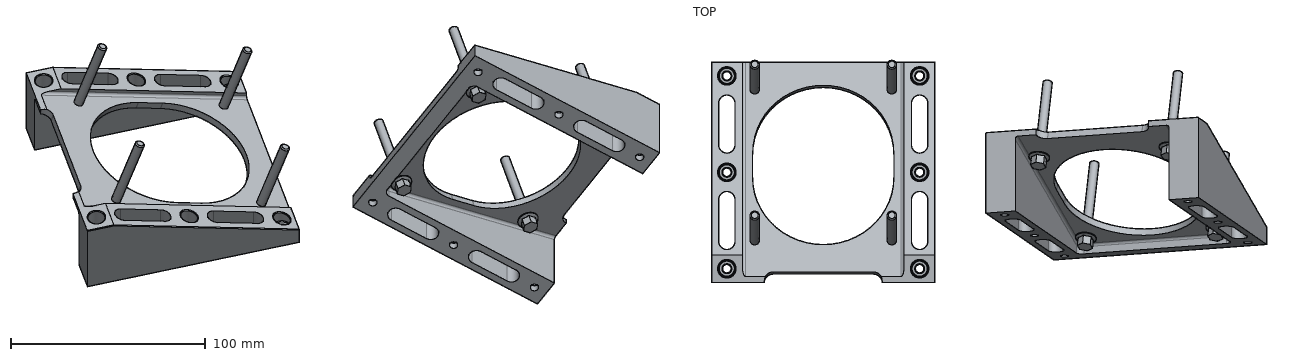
import cadquery as cq
import math

WIDTH = 115.0
DEPTH = 113.2
FRONT_HEIGHT = 42.4
SLOPE = 18.3
FLAT_DEPTH = 14.2
SIDE_EDGE_CHAMFER = 0.4

SIDE_WALL = 16.0
BACK_WALL = 8.8
FILLET = 1.5
POCKET_CORNER_RADIUS = 3.0

LIP_DEPTH = 3.2
PLATE_THICKNESS = 3.9

OPENING_WIDTH = 72.4
OPENING_LENGTH = 86.1
PLATE_CENTER_Y = 60.4
NOTCH_WIDTH = 60.6
NOTCH_DEPTH = 5.5
NOTCH_RADIUS = 4.8

HOLE_PITCH = 49.5
HOLE_ROWS = (-1, 0, 1)
SLOT_ROWS = (-0.5, 0.5)
COUNTERBORE_DIAMETER = 8.65
COUNTERBORE_FLOOR = 5.0
COUNTERBORE_CHAMFER = 0.45
SCREW_DIAMETER = 4.23
SCREW_MOUTH_DIAMETER = 5.12
SLOT_WIDTH = 8.3
SLOT_LENGTH = 29.7

BOLT_SPACING_X = 70.4
BOLT_SPACING_SLOPE = 81.6
BOLT_DIAMETER = 4.9
BOLT_TIP_DIAMETER = 3.5
BOLT_TIP_CHAMFER = 0.6
BOLT_REACH = 41.0
FLANGE_DIAMETER = 10.8
FLANGE_RIM = 0.5
FLANGE_HEIGHT = 1.05
HEAD_ACROSS_FLATS = 7.0
HEAD_HEIGHT = 5.6

TAN_SLOPE = math.tan(math.radians(SLOPE))
BACK_HEIGHT = FRONT_HEIGHT - (DEPTH - FLAT_DEPTH) * TAN_SLOPE
INNER_WIDTH = WIDTH - 2 * SIDE_WALL
OVERSIZE = 2 * DEPTH
PLATE_CUT_REACH = FRONT_HEIGHT
HOLE_X = (WIDTH - SIDE_WALL) / 2
PLATE_CENTER_Z = FRONT_HEIGHT + (LIP_DEPTH - PLATE_CENTER_Y) * TAN_SLOPE


def tilted(body):
    """Lay a body built about the plate's own axes onto the sloped plate."""
    return body.rotate((0, 0, 0), (1, 0, 0), -SLOPE).translate((0, PLATE_CENTER_Y, PLATE_CENTER_Z))


def wedge():
    """Solid wedge with a level stretch at the front and bevelled upper side edges."""
    profile = [
        (0, 0),
        (DEPTH, 0),
        (DEPTH, BACK_HEIGHT),
        (FLAT_DEPTH, FRONT_HEIGHT),
        (0, FRONT_HEIGHT),
    ]
    body = cq.Workplane("YZ").polyline(profile).close().extrude(WIDTH / 2, both=True)
    return body.faces("<X or >X").edges("not (|Z or <Z)").chamfer(SIDE_EDGE_CHAMFER)


def top_recess():
    """Sloped space above the plate, rounded where it meets the side walls."""
    recess = cq.Workplane("XY").box(INNER_WIDTH, OVERSIZE, DEPTH, centered=(True, True, False))
    return tilted(recess.edges("|Y and <Z").fillet(FILLET))


def under_pocket():
    """Space between the legs, open at the front and closed by the back wall."""
    pocket = (
        cq.Workplane("XY")
        .box(INNER_WIDTH, OVERSIZE, OVERSIZE)
        .translate((0, DEPTH - BACK_WALL - OVERSIZE / 2, 0))
        .edges("|Z and >Y")
        .fillet(POCKET_CORNER_RADIUS)
    )
    above_underside = tilted(
        cq.Workplane("XY")
        .workplane(offset=-PLATE_THICKNESS)
        .rect(OVERSIZE, 2 * OVERSIZE)
        .extrude(OVERSIZE)
    )
    pocket = pocket.cut(above_underside)
    sloped_ceiling = pocket.faces(">Z")
    return sloped_ceiling.edges("not <Y").fillet(FILLET)


def opening():
    """Large round-ended opening, cut square to the plate."""
    outline = cq.Workplane("XY").slot2D(OPENING_LENGTH, OPENING_WIDTH, 90)
    return tilted(outline.extrude(PLATE_CUT_REACH, both=True))


def front_notch():
    """Notch through the front of the plate, square to the slope, with rounded inner corners."""
    inner_edge_y = (NOTCH_DEPTH - PLATE_CENTER_Y) / math.cos(math.radians(SLOPE))
    notch = (
        cq.Workplane("XY")
        .box(NOTCH_WIDTH, DEPTH, 2 * PLATE_CUT_REACH)
        .translate((0, inner_edge_y - DEPTH / 2, 0))
        .edges("|Z and >Y")
        .fillet(NOTCH_RADIUS)
    )
    return tilted(notch)


def wall_points(rows):
    """Points along the middle of both side walls, in hole pitches from the centre."""
    return [(side * HOLE_X, DEPTH / 2 + row * HOLE_PITCH) for side in (-1, 1) for row in rows]


def counterbores():
    """Counterbores with a small bevel around the floor."""
    return (
        cq.Workplane("XY")
        .workplane(offset=COUNTERBORE_FLOOR)
        .pushPoints(wall_points(HOLE_ROWS))
        .circle(COUNTERBORE_DIAMETER / 2)
        .extrude(FRONT_HEIGHT)
        .faces("<Z")
        .chamfer(COUNTERBORE_CHAMFER)
    )


def screw_holes():
    """Holes below the counterbores, with a 45 degree mouth in the counterbore floor."""
    radius = SCREW_DIAMETER / 2
    mouth_radius = SCREW_MOUTH_DIAMETER / 2
    profile = [
        (0, 0),
        (radius, 0),
        (radius, COUNTERBORE_FLOOR - (mouth_radius - radius)),
        (mouth_radius, COUNTERBORE_FLOOR),
        (0, COUNTERBORE_FLOOR),
    ]
    hole = cq.Workplane("XZ").polyline(profile).close().revolve(360, (0, 0), (0, 1)).val()
    return cq.Workplane("XY").pushPoints(wall_points(HOLE_ROWS)).eachpoint(lambda place: hole.moved(place))


def wall_slots():
    """Vertical through slots midway between the screw holes."""
    return (
        cq.Workplane("XY")
        .pushPoints(wall_points(SLOT_ROWS))
        .slot2D(SLOT_LENGTH, SLOT_WIDTH, 90)
        .extrude(FRONT_HEIGHT)
    )


def make_bolt(x, y):
    """Hex flange bolt standing up through the plate at (x, y) along the plate's own axes."""
    shank_bottom = -PLATE_THICKNESS
    shank = (
        cq.Workplane("XY")
        .workplane(offset=shank_bottom)
        .circle(BOLT_DIAMETER / 2)
        .extrude(BOLT_REACH + PLATE_THICKNESS)
        .faces(">Z")
        .chamfer(BOLT_TIP_CHAMFER, (BOLT_DIAMETER - BOLT_TIP_DIAMETER) / 2)
    )
    flange_profile = [
        (0, shank_bottom),
        (FLANGE_DIAMETER / 2, shank_bottom),
        (FLANGE_DIAMETER / 2, shank_bottom - FLANGE_RIM),
        (HEAD_ACROSS_FLATS / 2, shank_bottom - FLANGE_HEIGHT),
        (0, shank_bottom - FLANGE_HEIGHT),
    ]
    flange = cq.Workplane("XZ").polyline(flange_profile).close().revolve(360, (0, 0), (0, 1))
    head = (
        cq.Workplane("XY")
        .workplane(offset=shank_bottom)
        .polygon(6, HEAD_ACROSS_FLATS, circumscribed=True)
        .extrude(-HEAD_HEIGHT)
    )
    return tilted(shank.union(flange).union(head).translate((x, y, 0)))


def make_bracket(bolts):
    """Wedge bracket with every cut made, including the seats of the bolts."""
    body = wedge().cut(counterbores())
    counterbore_rims = body.edges("%ELLIPSE or (%CIRCLE and >Z)")
    body = counterbore_rims.chamfer(COUNTERBORE_CHAMFER)
    cutters = [screw_holes(), wall_slots(), under_pocket(), top_recess(), opening(), front_notch(), *bolts]
    for cutter in cutters:
        body = body.cut(cutter)
    return body


bolts = [
    make_bolt(side * BOLT_SPACING_X / 2, end * BOLT_SPACING_SLOPE / 2)
    for side in (-1, 1)
    for end in (-1, 1)
]
bracket = make_bracket(bolts)

result = cq.Compound.makeCompound([bracket.val(), *[bolt.val() for bolt in bolts]])